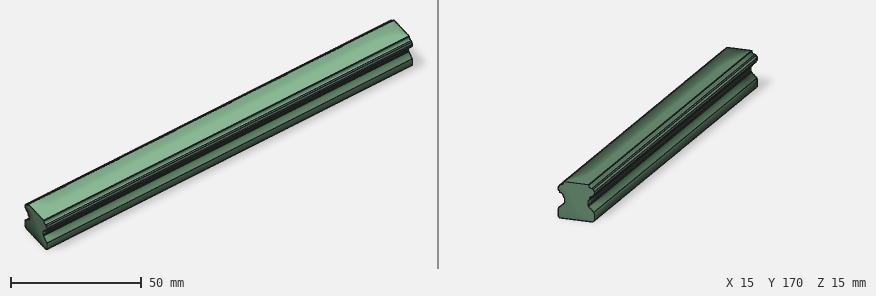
import cadquery as cq

length = 170.0
width = 15.0
height = 15.0
half_width = width / 2

base_bevel = 0.7
shoulder_z = 4.0
shoulder_bevel_width = 0.2
shoulder_bevel_height = 0.8

waist_width = 9.7
waist_top_z = 8.3
waist_ease_width = 0.2
waist_ease_height = 0.5
slope_rise = 2.0

groove_sag = 0.42
lower_groove_inner = (5.5, 9.0)
lower_groove_outer = (6.8, 10.4)
upper_groove_outer = (6.5, 13.6)

lip_bevel = 0.5
lip_under_z = 10.9
lip_tip_bottom_z = 11.4
lip_tip_top_z = 12.4
lip_over_z = 13.3

top_width = 10.2
top_bevel = 0.2


def groove_middle(start, end):
    """Point halfway along a groove arc, which bows to the left of start-to-end."""
    dx = end[0] - start[0]
    dz = end[1] - start[1]
    chord = (dx**2 + dz**2) ** 0.5
    middle_x = (start[0] + end[0]) / 2 - groove_sag * dz / chord
    middle_z = (start[1] + end[1]) / 2 + groove_sag * dx / chord
    return (middle_x, middle_z)


def half_profile():
    """Right half of the cross-section, closed along the mid-plane."""
    half_waist = waist_width / 2
    slope_top = (half_waist + waist_ease_width, shoulder_z + slope_rise)
    lip_x = half_width - lip_bevel
    half_top = top_width / 2
    upper_groove_inner = (half_top + top_bevel, height - top_bevel)
    return (
        cq.Workplane("XZ")
        .moveTo(0, 0)
        .lineTo(half_width - base_bevel, 0)
        .lineTo(half_width, base_bevel)
        .lineTo(half_width, shoulder_z - shoulder_bevel_height)
        .lineTo(half_width - shoulder_bevel_width, shoulder_z)
        .lineTo(*slope_top)
        .lineTo(half_waist, slope_top[1] + waist_ease_height)
        .lineTo(half_waist, waist_top_z)
        .lineTo(*lower_groove_inner)
        .threePointArc(groove_middle(lower_groove_inner, lower_groove_outer), lower_groove_outer)
        .lineTo(lip_x, lip_under_z)
        .lineTo(half_width, lip_tip_bottom_z)
        .lineTo(half_width, lip_tip_top_z)
        .lineTo(lip_x, lip_over_z)
        .lineTo(*upper_groove_outer)
        .threePointArc(groove_middle(upper_groove_outer, upper_groove_inner), upper_groove_inner)
        .lineTo(half_top, height)
        .lineTo(0, height)
        .close()
    )


half_rail = half_profile().extrude(length / 2, both=True)
result = half_rail.union(half_rail.mirror("YZ")).clean()